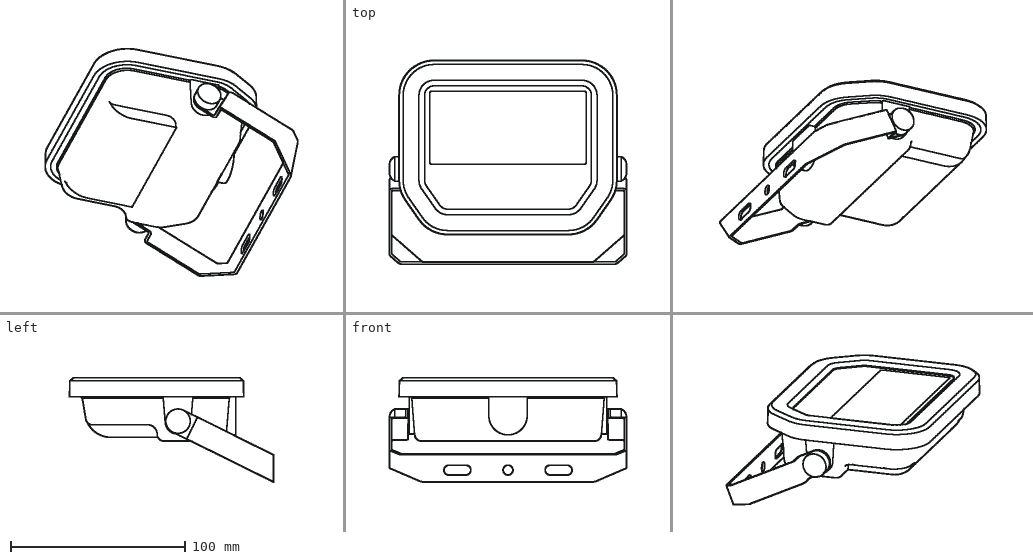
import cadquery as cq
import math


bezel_width = 125.0
bezel_length = 100.0
bezel_height = 11.0
bezel_corner_radius = 20.2
bezel_wall_lean = 0.2
top_edge_inset = 2.4
bezel_chamfer_height = 1.9
side_arc_y = -18.75
front_arc_x = 34.6
rim_width = 11.45
window_slope_width = 3.2
window_slope_depth = 2.0
window_depth = 2.6

flange_radius = 17.0
flange_height = 5.0

panel_width = 89.7
panel_length = 41.8
panel_center_y = 11.3
panel_thickness = 1.0
panel_corner_radius = 1.0

housing_width = 110.6
housing_rear_y = 42.8
housing_rear_radius = 13.0
housing_front_radius = 12.5
housing_side_arc_y = -19.1
housing_front_arc_x = 36.1
housing_front_arc_y = -29.2
housing_depth = 25.4
wall_draft = 4.7
rear_wall_draft = 9.5
rear_depth = 16.0
bottom_fillet = 3.9
fillet_zone_depth = 14.5
step_y = 5.1
step_round_radius = 4.0
step_hollow_radius = housing_depth - rear_depth - step_round_radius
lip_width = 0.5
lip_height = 0.9

box_width = 80.0
box_top_depth = 5.0
box_depth = 23.3
box_round_radius = 15.0

side_boss_x = 56.7
side_boss_radius = 7.4
side_boss_draft = 4.5
front_boss_y = -45.5
front_boss_radius = 11.0
front_boss_center_z = -10.8
boss_edge_round = 0.6

pivot_y = -12.26
pivot_z = -13.95
knob_radius = 7.0
knob_face_radius = 2.5
knob_shoulder_x = 64.9
dome_middle_x = 66.9
dome_middle_radius = 5.5
shank_diameter = 3.3
shank_end_x = 50.0
bracket_hole_diameter = 3.6
bracket_width = 136.0
bracket_front_y = -67.06
sheet = 1.5
band_width = 14.0
bracket_tilt = 26.32
ear_inner_x = 57.2
joggle_reach = 9.0
arm_start = joggle_reach + 2 * sheet
outer_bend_radius = 2.0
inner_bend_radius = 0.5
corner_normal = (1.0, 0.75, 0.8)
corner_offset = 138.9
slot_offset_x = 29.0
slot_length = 15.3
slot_width = 5.5
slot_z = -42.0


def outline(z, half_width, rear_y, rear_radius, side_y, front_x, front_arc_y, front_radius):
    """Closed six-cornered outline at height z, symmetric about X = 0, running counterclockwise."""
    side_x = half_width - front_radius
    rear_center = (half_width - rear_radius, rear_y - rear_radius)
    slant = math.degrees(math.atan2(side_x - front_x, side_y - front_arc_y))
    right_arcs = [
        (front_x, front_arc_y, front_radius, -90, -slant),
        (side_x, side_y, front_radius, -slant, 0),
        (*rear_center, rear_radius, 0, 90),
    ]
    left_arcs = [(-x, y, r, 180 - end, 180 - start) for x, y, r, start, end in reversed(right_arcs)]

    def arc_point(x, y, radius, angle):
        turn = math.radians(angle)
        return (x + radius * math.cos(turn), y + radius * math.sin(turn))

    path = cq.Workplane("XY", origin=(0, 0, z)).moveTo(front_x, front_arc_y - front_radius)
    for index, (x, y, radius, start, end) in enumerate(right_arcs + left_arcs):
        if index > 0:
            path = path.lineTo(*arc_point(x, y, radius, start))
        middle = arc_point(x, y, radius, (start + end) / 2)
        path = path.threePointArc(middle, arc_point(x, y, radius, end))
    return path.close().wire().val()


def bezel_outline(z, radius):
    """Outline of the bezel family: all sizes share the same corner centres."""
    growth = radius - bezel_corner_radius
    return outline(
        z,
        bezel_width / 2 + growth,
        bezel_length / 2 + growth,
        radius,
        side_arc_y,
        front_arc_x,
        bezel_corner_radius - bezel_length / 2,
        radius,
    )


def housing_outline(z, growth=0.0):
    """Outline of the housing wall at height z, widened by growth."""
    inset = -z * math.tan(math.radians(wall_draft)) - growth
    rear_inset = -z * math.tan(math.radians(rear_wall_draft)) - growth
    return outline(
        z,
        housing_width / 2 - inset,
        housing_rear_y - rear_inset,
        housing_rear_radius,
        housing_side_arc_y,
        housing_front_arc_x,
        housing_front_arc_y,
        housing_front_radius - inset,
    )


def loft(lower, upper):
    """Straight-sided solid between two outlines."""
    return cq.Workplane(cq.Solid.makeLoft([lower, upper], True))


def make_bezel():
    """Ring with a chamfered top edge, a sloped window and a pocket for the housing flange."""
    shoulder_z = bezel_height - bezel_chamfer_height
    shoulder_radius = bezel_corner_radius - bezel_wall_lean
    top_radius = bezel_corner_radius - top_edge_inset
    window_radius = bezel_corner_radius - rim_width
    glass_radius = window_radius - window_slope_width
    slope_z = bezel_height - window_slope_depth
    shoulder = bezel_outline(shoulder_z, shoulder_radius)
    body = loft(bezel_outline(0, bezel_corner_radius), shoulder)
    body = body.union(loft(shoulder, bezel_outline(bezel_height, top_radius)))
    body = body.cut(loft(bezel_outline(slope_z, glass_radius), bezel_outline(bezel_height, window_radius)))
    body = body.cut(loft(bezel_outline(flange_height, glass_radius), bezel_outline(slope_z, glass_radius)))
    return body.cut(loft(bezel_outline(0, flange_radius), bezel_outline(flange_height, flange_radius)))


def make_panel():
    """Thin rectangular panel, flush with the glass surface."""
    return (
        cq.Workplane("XY", origin=(0, panel_center_y, bezel_height - window_depth - panel_thickness))
        .rect(panel_width, panel_length)
        .extrude(panel_thickness)
        .edges("|Z")
        .fillet(panel_corner_radius)
    )


def make_glass():
    """Window pane on the flange, with a recess for the panel."""
    radius = bezel_corner_radius - rim_width - window_slope_width
    surface_z = bezel_height - window_depth
    return loft(bezel_outline(flange_height, radius), bezel_outline(surface_z, radius)).cut(make_panel())


def make_shell():
    """Tapered housing body, stepped up toward the rear, with a rounded bottom edge."""
    shell = loft(housing_outline(-housing_depth), housing_outline(0))
    hollow_z = -rear_depth - step_hollow_radius
    step_wall_y = step_y - step_hollow_radius
    diagonal = math.sqrt(0.5)
    below_z = -2 * housing_depth
    rear_cut = (
        cq.Workplane("YZ")
        .moveTo(bezel_length, -rear_depth)
        .lineTo(step_y, -rear_depth)
        .threePointArc(
            (step_y - step_hollow_radius * diagonal, hollow_z + step_hollow_radius * diagonal),
            (step_wall_y, hollow_z),
        )
        .lineTo(step_wall_y, below_z)
        .lineTo(bezel_length, below_z)
        .close()
        .extrude(bezel_width, both=True)
    )
    shell = shell.cut(rear_cut)
    reach = bezel_length
    bottom_edges = cq.selectors.BoxSelector((-reach, -reach, below_z), (reach, reach, -fillet_zone_depth))
    return shell.edges(bottom_edges).fillet(bottom_fillet)


def make_rear_box():
    """Box below the shallow rear, continuing the slope of the rear wall and rounded at the bottom."""
    wall_slope = math.tan(math.radians(rear_wall_draft))
    front_y = step_y - step_hollow_radius - step_round_radius
    rear_bottom_y = housing_rear_y - box_depth * wall_slope
    return (
        cq.Workplane("YZ")
        .moveTo(front_y, -box_top_depth)
        .lineTo(housing_rear_y - box_top_depth * wall_slope, -box_top_depth)
        .lineTo(rear_bottom_y, -box_depth)
        .lineTo(front_y, -box_depth)
        .close()
        .extrude(box_width / 2, both=True)
        .edges(cq.selectors.NearestToPointSelector((0, rear_bottom_y, -box_depth)))
        .fillet(box_round_radius)
    )


def make_side_boss(side):
    """D-shaped boss around the pivot; its sides spread toward the bezel."""
    draft = math.radians(side_boss_draft)
    touch_y = side_boss_radius * math.cos(draft)
    touch_z = pivot_z - side_boss_radius * math.sin(draft)
    top_half_width = touch_y - touch_z * math.tan(draft)
    boss = (
        cq.Workplane("YZ")
        .moveTo(pivot_y + top_half_width, 0)
        .lineTo(pivot_y + touch_y, touch_z)
        .threePointArc((pivot_y, pivot_z - side_boss_radius), (pivot_y - touch_y, touch_z))
        .lineTo(pivot_y - top_half_width, 0)
        .close()
        .extrude(side * side_boss_x)
    )
    outer_face = ">X" if side > 0 else "<X"
    return boss.faces(outer_face).edges("not >Z").fillet(boss_edge_round)


def make_front_boss():
    """D-shaped boss on the front wall."""
    return (
        cq.Workplane("XZ")
        .moveTo(front_boss_radius, 0)
        .lineTo(front_boss_radius, front_boss_center_z)
        .threePointArc(
            (0, front_boss_center_z - front_boss_radius),
            (-front_boss_radius, front_boss_center_z),
        )
        .lineTo(-front_boss_radius, 0)
        .close()
        .extrude(-front_boss_y)
        .faces("<Y")
        .edges("not >Z")
        .fillet(boss_edge_round)
    )


def pivot_cylinder(side, radius, start_x, end_x):
    """Cylinder on the pivot axis between two distances from the middle plane."""
    return (
        cq.Workplane("YZ", origin=(side * start_x, pivot_y, pivot_z))
        .circle(radius)
        .extrude(side * (end_x - start_x))
    )


def make_housing():
    """One solid of the shell, rear box, lip, flange and bosses, with a shank hole on each side."""
    flange = loft(bezel_outline(0, flange_radius), bezel_outline(flange_height, flange_radius))
    lip = loft(housing_outline(-lip_height), housing_outline(0, lip_width))
    housing = make_shell().union(make_rear_box()).union(lip).union(make_front_boss()).union(flange)
    for side in (-1, 1):
        housing = housing.union(make_side_boss(side))
        housing = housing.cut(pivot_cylinder(side, shank_diameter / 2, shank_end_x, side_boss_x))
    return housing


def make_screw(side):
    """Round knob with a domed end and a shank that runs through the bracket into the housing."""
    knob_x = ear_inner_x + sheet
    end_x = bracket_width / 2
    return (
        cq.Workplane("XY", origin=(0, pivot_y, pivot_z))
        .moveTo(side * shank_end_x, 0)
        .lineTo(side * shank_end_x, shank_diameter / 2)
        .lineTo(side * knob_x, shank_diameter / 2)
        .lineTo(side * knob_x, knob_radius)
        .lineTo(side * knob_shoulder_x, knob_radius)
        .threePointArc((side * dome_middle_x, dome_middle_radius), (side * end_x, knob_face_radius))
        .lineTo(side * end_x, 0)
        .close()
        .revolve(360, (0, 0, 0), (1, 0, 0))
    )


def tilted(body):
    """Moves a body from the pivot's own axes, with the arm running along -Y, into the tilted place."""
    return body.rotate((0, 0, 0), (1, 0, 0), bracket_tilt).translate((0, pivot_y, pivot_z))


def bracket_block(inset, corner_radius):
    """Solid inside the arms, crossbar and slanted corners, its faces moved in by inset."""
    half_width = bracket_width / 2 - inset
    span = bracket_width
    center_y = bracket_front_y + inset + span / 2
    block = cq.Workplane("XY").box(2 * half_width, span, span).translate((0, center_y, 0))
    length = math.sqrt(sum(part**2 for part in corner_normal))
    distance = corner_offset / length - inset
    for side in (-1, 1):
        normal = cq.Vector(side * corner_normal[0], -corner_normal[1], -corner_normal[2]).normalized()
        plane = cq.Plane(origin=(normal * distance).toTuple(), normal=normal.toTuple())
        block = block.cut(cq.Workplane(plane).rect(2 * span, 2 * span).extrude(span))
    return block.edges("not (#Z or |Z)").fillet(corner_radius)


def make_ear(side):
    """Rounded ear under the knob with its joggle out to the arm, in the pivot's own axes."""
    ear_outer_x = ear_inner_x + sheet
    arm_outer_x = bracket_width / 2
    arm_inner_x = arm_outer_x - sheet
    joggle_end = joggle_reach + sheet
    ear = (
        cq.Workplane("XY")
        .moveTo(side * ear_inner_x, knob_radius)
        .lineTo(side * ear_inner_x, -joggle_end)
        .lineTo(side * arm_inner_x, -joggle_end)
        .lineTo(side * arm_inner_x, -arm_start)
        .lineTo(side * arm_outer_x, -arm_start)
        .lineTo(side * arm_outer_x, -joggle_reach)
        .lineTo(side * ear_outer_x, -joggle_reach)
        .lineTo(side * ear_outer_x, knob_radius)
        .close()
        .extrude(band_width / 2, both=True)
    )
    bends = [
        (ear_inner_x, joggle_end, outer_bend_radius),
        (arm_outer_x, joggle_reach, outer_bend_radius),
        (arm_inner_x, joggle_end, inner_bend_radius),
        (ear_outer_x, joggle_reach, inner_bend_radius),
    ]
    for bend_x, bend_reach, radius in bends:
        ear = ear.edges(cq.selectors.NearestToPointSelector((side * bend_x, -bend_reach, 0))).fillet(radius)
    end_round = cq.Workplane("YZ").circle(knob_radius).extrude(side * bracket_width)
    end_strip = cq.Workplane("XY").box(2 * bracket_width, bracket_width, band_width)
    return ear.intersect(end_round.union(end_strip.translate((0, -bracket_width / 2, 0))))


def make_bracket():
    """Bent sheet bracket: a slanted band of the bent sheet, with an ear at each end."""
    reach = bracket_width
    band = cq.Workplane("XY").box(2 * reach, reach, band_width).translate((0, -arm_start - reach / 2, 0))
    bracket = bracket_block(0, outer_bend_radius).cut(bracket_block(sheet, inner_bend_radius))
    bracket = bracket.intersect(tilted(band))
    for side in (-1, 1):
        bracket = bracket.union(tilted(make_ear(side)))
        pivot_hole = pivot_cylinder(side, bracket_hole_diameter / 2, ear_inner_x, ear_inner_x + sheet)
        bracket = bracket.cut(pivot_hole)
    crossbar_holes = (
        cq.Workplane("XZ", origin=(0, bracket_front_y + sheet, slot_z))
        .pushPoints([(-slot_offset_x, 0), (slot_offset_x, 0)])
        .slot2D(slot_length, slot_width)
        .pushPoints([(0, 0)])
        .circle(slot_width / 2)
        .extrude(sheet)
    )
    return bracket.cut(crossbar_holes)


bezel = make_bezel()
panel = make_panel()
glass = make_glass()
housing = make_housing()
bracket = make_bracket()
screws = [make_screw(side) for side in (-1, 1)]

result = cq.Compound.makeCompound(
    [bezel.val(), panel.val(), glass.val(), housing.val(), bracket.val(), *[screw.val() for screw in screws]]
)